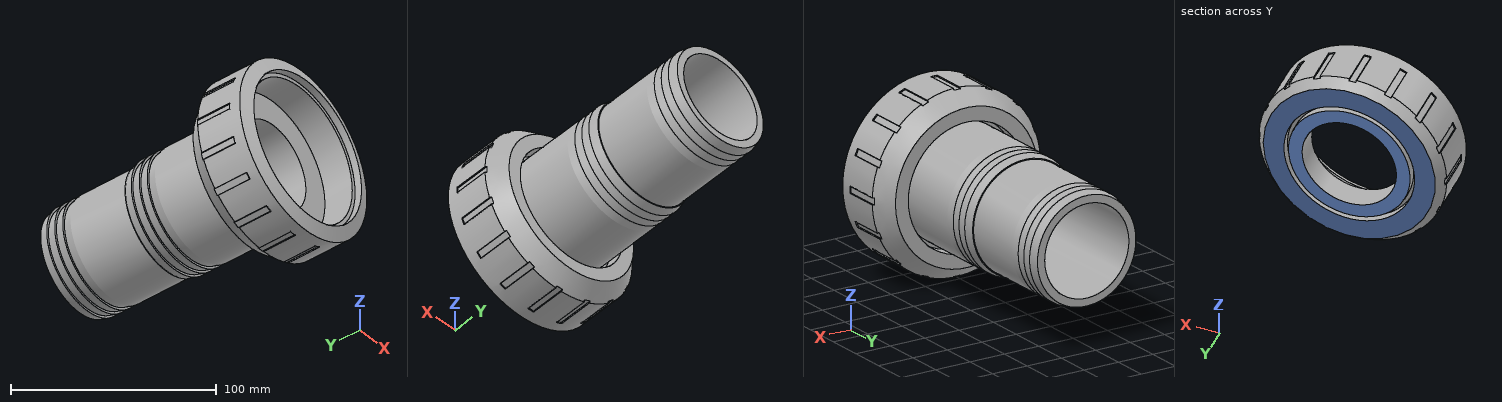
import cadquery as cq


TOTAL_LENGTH = 144.0
TAIL_BORE_DIAMETER = 49.0
SMALL_HOSE_DIAMETER = 60.0
LARGE_HOSE_DIAMETER = 63.8
BARB_DEPTH = 1.32
BARBS_PER_STAGE = 4
BARB_STAGE_LENGTH = 20.0
BARB_PITCH = BARB_STAGE_LENGTH / BARBS_PER_STAGE
SMALL_STAGE_LENGTH = 54.5
FLANGE_DIAMETER = 78.3

NUT_DIAMETER = 98.0
NUT_LENGTH = 38.0
NUT_END_DIAMETER = 83.0
FRONT_TAPER_LENGTH = 2.7
BACK_TAPER_LENGTH = 9.0
MOUTH_DEPTH = 4.0
THREAD_DIAMETER = 78.6
NECK_HOLE_DIAMETER = 68.0
NECK_LENGTH = 8.6

SOCKET_DEPTH = 21.0
FLANGE_BACK = NUT_LENGTH - NECK_LENGTH

GROOVE_COUNT = 16
GROOVE_WIDTH = 3.6
GROOVE_DEPTH = 0.7
GROOVE_START = 9.2


def revolve_about_y(points):
    """Solid of revolution about the Y axis from a closed (radius, y) outline."""
    return cq.Workplane("XY").polyline(points).close().revolve(360, (0, 0, 0), (0, 1, 0))


def barb_points(hose_diameter, stage_end):
    """Sawtooth from the wide foot of a barbed stage to its narrow end at y = stage_end."""
    crest_radius = hose_diameter / 2
    root_radius = crest_radius - BARB_DEPTH
    points = []
    for barb in reversed(range(BARBS_PER_STAGE)):
        barb_end = stage_end - barb * BARB_PITCH
        points.append((crest_radius, barb_end - BARB_PITCH))
        points.append((root_radius, barb_end))
    return points


def make_hose_tail():
    bore_radius = TAIL_BORE_DIAMETER / 2
    flange_radius = FLANGE_DIAMETER / 2
    large_stage_end = TOTAL_LENGTH - SMALL_STAGE_LENGTH
    return revolve_about_y([
        (bore_radius, SOCKET_DEPTH),
        (flange_radius, SOCKET_DEPTH),
        (flange_radius, FLANGE_BACK),
        (LARGE_HOSE_DIAMETER / 2, FLANGE_BACK),
        *barb_points(LARGE_HOSE_DIAMETER, large_stage_end),
        (SMALL_HOSE_DIAMETER / 2, large_stage_end),
        *barb_points(SMALL_HOSE_DIAMETER, TOTAL_LENGTH),
        (bore_radius, TOTAL_LENGTH),
    ])


def make_nut_blank():
    nut_radius = NUT_DIAMETER / 2
    end_radius = NUT_END_DIAMETER / 2
    thread_radius = THREAD_DIAMETER / 2
    neck_radius = NECK_HOLE_DIAMETER / 2
    return revolve_about_y([
        (end_radius, 0),
        (nut_radius, FRONT_TAPER_LENGTH),
        (nut_radius, NUT_LENGTH - BACK_TAPER_LENGTH),
        (end_radius, NUT_LENGTH),
        (neck_radius, NUT_LENGTH),
        (neck_radius, FLANGE_BACK),
        (thread_radius, FLANGE_BACK),
        (thread_radius, MOUTH_DEPTH),
        (end_radius, MOUTH_DEPTH),
    ])


def make_groove_cutter(angle):
    """Bar that cuts one grip groove, open through the nut's back taper."""
    floor_radius = NUT_DIAMETER / 2 - GROOVE_DEPTH
    bar_height = 2 * GROOVE_DEPTH
    bar_length = NUT_LENGTH - GROOVE_START
    return (
        cq.Workplane("XY")
        .box(GROOVE_WIDTH, bar_length, bar_height, centered=(True, False, False))
        .translate((0, GROOVE_START, floor_radius))
        .rotate((0, 0, 0), (0, 1, 0), angle)
    )


def make_union_nut():
    nut = make_nut_blank()
    for index in range(GROOVE_COUNT):
        nut = nut.cut(make_groove_cutter(index * 360 / GROOVE_COUNT))
    return nut


hose_tail = make_hose_tail()
union_nut = make_union_nut()

result = cq.Compound.makeCompound([hose_tail.val(), union_nut.val()])